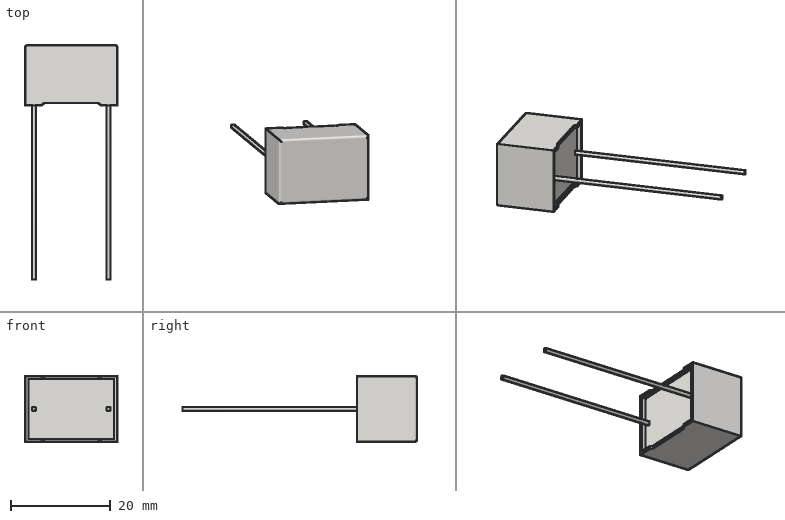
import cadquery as cq


case_length = 18.5
case_thickness = 13.21
case_height = 12.1
end_wall = 0.7
side_wall = 0.6
back_wall = 0.7
back_edge_radius = 0.5

notch_depth = 0.45
notch_outer_width = 11.95
notch_inner_width = 10.85

resin_recess = 0.8
resin_height = case_height - back_wall - resin_recess
cavity_length = case_length - 2 * end_wall
cavity_thickness = case_thickness - 2 * side_wall

overall_height = 47.1
lead_diameter = 0.86
lead_pitch = 14.96
lead_tip_y = case_height - overall_height
lead_length = resin_recess - lead_tip_y


def block(length, height, thickness, start_y):
    """Block centred on X and Z that runs from start_y toward +Y."""
    return (
        cq.Workplane("XY")
        .box(length, height, thickness, centered=(True, False, True))
        .translate((0, start_y, 0))
    )


def rim_notch():
    """Trapezoidal cutter that notches the rim of both long walls."""
    return (
        cq.Workplane("XY")
        .moveTo(-notch_outer_width / 2, 0)
        .lineTo(-notch_inner_width / 2, notch_depth)
        .lineTo(notch_inner_width / 2, notch_depth)
        .lineTo(notch_outer_width / 2, 0)
        .close()
        .extrude(case_thickness / 2, both=True)
    )


def make_case():
    """Open box with a rounded closed end and a notched rim."""
    shell = block(case_length, case_height, case_thickness, 0)
    shell = shell.faces(">Y").edges().fillet(back_edge_radius)
    cavity = block(cavity_length, case_height - back_wall, cavity_thickness, 0)
    return shell.cut(cavity).cut(rim_notch())


def make_resin():
    """Filling that occupies the cavity up to the recessed front face."""
    return block(cavity_length, resin_height, cavity_thickness, resin_recess)


def make_lead(center_x):
    """Straight round wire that starts at the front face of the resin."""
    return (
        cq.Workplane("XZ", origin=(center_x, resin_recess, 0))
        .circle(lead_diameter / 2)
        .extrude(lead_length)
    )


case = make_case()
resin = make_resin()
leads = [make_lead(side * lead_pitch / 2) for side in (-1, 1)]

result = cq.Compound.makeCompound([case.val(), resin.val(), *[lead.val() for lead in leads]])